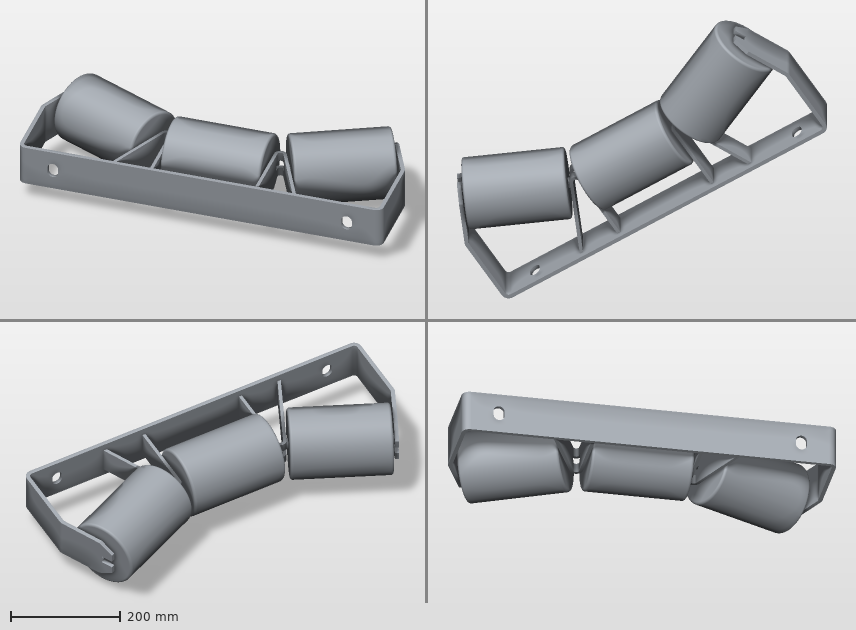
import cadquery as cq
import math

TILT = 25.0
SIN = math.sin(math.radians(TILT))
COS = math.cos(math.radians(TILT))

FRAME_LENGTH = 700.0
STRIP_WIDTH = 78.5
FRAME_THICKNESS = 8.0
FRAME_INNER_BEND = 7.0
SHOULDER_Y = 143.0
TIP_LENGTH = 116.0
TIP_CHAMFER_LENGTH = 29.0
TIP_CHAMFER_WIDTH = 16.0

MOUNT_X = 283.0
MOUNT_WIDTH = 20.0
MOUNT_HEIGHT = 29.0

BRACKET_WIDTH = 50.0
BRACKET_THICKNESS = 6.0
BRACKET_INNER_BEND = 5.5
BRACKET_X = 98.0
BRACKET_TOP = 154.0

ROLLER_DIAMETER = 133.0
ROLLER_LENGTH = 190.5
ROLLER_FILLET = 5.0
MIDDLE_ROLLER_Y = 125.0
SIDE_ROLLER_X = 217.0
SIDE_ROLLER_Y = 176.0
AXLE_DIAMETER = 20.0
AXLE_FLATS = 15.0

HALF_LENGTH = FRAME_LENGTH / 2
HALF_WIDTH = STRIP_WIDTH / 2
FRAME_OUTER_BEND = FRAME_INNER_BEND + FRAME_THICKNESS
BRACKET_OUTER_BEND = BRACKET_INNER_BEND + BRACKET_THICKNESS
BEND_X = BRACKET_X + BRACKET_OUTER_BEND
BEND_Y = BRACKET_TOP - BRACKET_OUTER_BEND

UP_TILT = cq.Vector(-SIN, COS, 0)
AXLE_TILT = cq.Vector(COS, SIN, 0)
SIDE_CENTRE = cq.Vector(SIDE_ROLLER_X, SIDE_ROLLER_Y, 0)
SHOULDER = cq.Vector(HALF_LENGTH, SHOULDER_Y, 0)
BEND_CENTRE = cq.Vector(BEND_X, BEND_Y, 0)

MIDDLE_AXLE_REACH = BRACKET_X + BRACKET_THICKNESS
SIDE_AXLE_OUT = (SHOULDER - SIDE_CENTRE).dot(AXLE_TILT)
SIDE_AXLE_IN = (SIDE_CENTRE - BEND_CENTRE).dot(AXLE_TILT) - BRACKET_INNER_BEND


def axle(plane, start, end):
    """Round bar with two flats facing +Z and -Z, from start to end along the plane's normal."""
    bar = cq.Workplane(plane).workplane(offset=start).circle(AXLE_DIAMETER / 2).extrude(end - start)
    flats = (
        cq.Workplane(plane).workplane(offset=start)
        .rect(AXLE_DIAMETER, AXLE_FLATS).extrude(end - start)
    )
    return bar.intersect(flats)


def make_roller(plane, start, end):
    """Filleted drum centred on the plane, with its axle fixed in it."""
    drum = (
        cq.Workplane(plane).workplane(offset=-ROLLER_LENGTH / 2)
        .circle(ROLLER_DIAMETER / 2).extrude(ROLLER_LENGTH)
        .edges().fillet(ROLLER_FILLET)
    )
    return drum.union(axle(plane, start, end))


def axle_slot(plane, start, end, length):
    """Cutter for an axle's seat and the open slot that leads to it, running along the plane's X."""
    channel = (
        cq.Workplane(plane).workplane(offset=start)
        .center(length / 2, 0).rect(length, AXLE_FLATS).extrude(end - start)
    )
    return axle(plane, start, end).union(channel)


def mirrored(shape):
    """Copy of a shape on the other side of the YZ plane."""
    return shape.mirror("YZ")


def fillet_bends(strip, bends):
    """Round the upright edges of a strip that stand at the given points."""
    for x, y, radius in bends:
        strip = strip.edges(cq.selectors.NearestToPointSelector((x, y, 0))).fillet(radius)
    return strip


middle_plane = cq.Plane(origin=(0, MIDDLE_ROLLER_Y, 0), xDir=(0, 1, 0), normal=(1, 0, 0))
side_plane = cq.Plane(origin=SIDE_CENTRE, xDir=UP_TILT, normal=AXLE_TILT)


def make_frame():
    """Bent strip with notched, chamfered tips and two mounting slots."""
    half_bend = math.tan(math.radians(TILT / 2))
    inner_x = HALF_LENGTH - FRAME_THICKNESS
    inner_shoulder_y = SHOULDER_Y - FRAME_THICKNESS * half_bend
    tip = SHOULDER + UP_TILT * TIP_LENGTH
    inner_tip = tip - AXLE_TILT * FRAME_THICKNESS
    right_half = (
        cq.Workplane("XY")
        .polyline([
            (0, 0),
            (HALF_LENGTH, 0),
            (HALF_LENGTH, SHOULDER_Y),
            (tip.x, tip.y),
            (inner_tip.x, inner_tip.y),
            (inner_x, inner_shoulder_y),
            (inner_x, FRAME_THICKNESS),
            (0, FRAME_THICKNESS),
        ])
        .close().extrude(HALF_WIDTH, both=True)
    )
    right_half = fillet_bends(right_half, [
        (HALF_LENGTH, 0, FRAME_OUTER_BEND),
        (inner_x, FRAME_THICKNESS, FRAME_INNER_BEND),
        (HALF_LENGTH, SHOULDER_Y, FRAME_OUTER_BEND),
        (inner_x, inner_shoulder_y, FRAME_INNER_BEND),
    ])

    tip_plane = cq.Plane(origin=inner_tip, xDir=UP_TILT, normal=AXLE_TILT)
    for side in (-1, 1):
        corner = (
            cq.Workplane(tip_plane)
            .polyline([
                (0, side * HALF_WIDTH),
                (-TIP_CHAMFER_LENGTH, side * HALF_WIDTH),
                (0, side * (HALF_WIDTH - TIP_CHAMFER_WIDTH)),
            ])
            .close().extrude(FRAME_THICKNESS)
        )
        right_half = right_half.cut(corner)

    right_half = right_half.cut(axle_slot(side_plane, ROLLER_LENGTH / 2, SIDE_AXLE_OUT, TIP_LENGTH))
    mounting_slot = (
        cq.Workplane("XZ").center(MOUNT_X, 0)
        .slot2D(MOUNT_HEIGHT, MOUNT_WIDTH, 90).extrude(-FRAME_THICKNESS)
    )
    right_half = right_half.cut(mounting_slot)
    return right_half.union(mirrored(right_half))


def make_bracket():
    """Right-hand bracket: upright leg, round fold and leaning leg."""
    def fold_end(radius):
        return BEND_CENTRE + AXLE_TILT * radius

    def fold_middle(radius):
        angle = math.radians((180 + TILT) / 2)
        return (BEND_X + radius * math.cos(angle), BEND_Y + radius * math.sin(angle))

    def foot(point):
        return (point.x + (point.y - FRAME_THICKNESS) * SIN / COS, FRAME_THICKNESS)

    outer = fold_end(BRACKET_OUTER_BEND)
    inner = fold_end(BRACKET_INNER_BEND)
    upright_inner_x = BRACKET_X + BRACKET_THICKNESS
    strip = (
        cq.Workplane("XY")
        .moveTo(BRACKET_X, FRAME_THICKNESS)
        .lineTo(BRACKET_X, BEND_Y)
        .threePointArc(fold_middle(BRACKET_OUTER_BEND), (outer.x, outer.y))
        .lineTo(*foot(outer))
        .lineTo(*foot(inner))
        .lineTo(inner.x, inner.y)
        .threePointArc(fold_middle(BRACKET_INNER_BEND), (upright_inner_x, BEND_Y))
        .lineTo(upright_inner_x, FRAME_THICKNESS)
        .close().extrude(BRACKET_WIDTH / 2, both=True)
    )

    slot_length = BRACKET_TOP - MIDDLE_ROLLER_Y
    fold_depth = SIDE_AXLE_IN + BRACKET_INNER_BEND
    middle_slot = axle_slot(middle_plane, ROLLER_LENGTH / 2, BEND_X, slot_length)
    side_slot = axle_slot(side_plane, -fold_depth, -ROLLER_LENGTH / 2, slot_length)
    return strip.cut(middle_slot).cut(side_slot)


frame = make_frame()
bracket = make_bracket()
middle_roller = make_roller(middle_plane, -MIDDLE_AXLE_REACH, MIDDLE_AXLE_REACH)
side_roller = make_roller(side_plane, -SIDE_AXLE_IN, SIDE_AXLE_OUT)

bodies = [frame, middle_roller]
for body in (bracket, side_roller):
    bodies += [body, mirrored(body)]

result = cq.Compound.makeCompound([body.solids().val() for body in bodies])